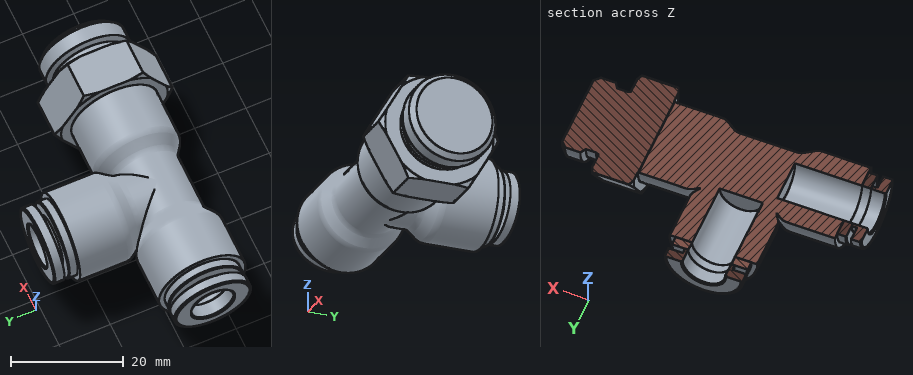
import cadquery as cq
import math


waist_diameter = 13.1
sleeve_diameter = 16.9
cone_inner_end = 6.15
cone_outer_end = 9.0
cone_blend_radius = 2.0
port_shoulder = 19.0
tube_bore_diameter = 8.2
bore_floor = cone_inner_end

collar_diameter = 14.7
collar_chamfer = 0.2
collar_front = 20.75

ring_front = 23.6
ring_head_thickness = 1.95
ring_head_width = 15.0
ring_head_height = 13.0
ring_head_chamfer_length = 0.2
ring_head_chamfer_inset = 0.35
ring_neck_diameter = 9.6
ring_bore_chamfer = 0.25

overall_length = 57.6
thread_tip = overall_length - ring_front
hexagon_start = 18.9
hexagon_thickness = 8.0
hexagon_end = hexagon_start + hexagon_thickness
hexagon_across_flats = 20.0
hexagon_face_diameter = 20.8
hexagon_chamfer_length = 0.45
relief_diameter = 14.6
relief_root_diameter = 15.05
relief_root_length = 0.5
thread_diameter = 16.65
thread_start = 29.4
thread_lead_in = 0.65
thread_tip_chamfer = 1.05

port_angles = (180, 90)


def turned(points):
    """Solid of revolution about X from an outline of (x, radius) points."""
    return cq.Workplane("XY").polyline(points).close().revolve(360, (0, 0, 0), (1, 0, 0))


def cylinder(diameter, start, end):
    """Cylinder on the X axis between two positions."""
    return cq.Workplane("YZ").workplane(offset=start).circle(diameter / 2).extrude(end - start)


def place(part, angle):
    """Turn a part built along +X about the Z axis."""
    return part.rotate((0, 0, 0), (0, 0, 1), angle)


def make_leg(end):
    """Narrow waist that flares through a blended cone into a wide sleeve."""
    waist_radius = waist_diameter / 2
    sleeve_radius = sleeve_diameter / 2
    leg = turned([
        (0, 0),
        (0, waist_radius),
        (cone_inner_end, waist_radius),
        (cone_outer_end, sleeve_radius),
        (end, sleeve_radius),
        (end, 0),
    ])
    cone_edges = leg.faces("%CONE").edges("%CIRCLE")
    return cone_edges.fillet(cone_blend_radius)


def make_body():
    """Tee body with a blind tube bore in each port."""
    body = make_leg(hexagon_start)
    for angle in port_angles:
        body = body.union(place(make_leg(port_shoulder), angle))
    for angle in port_angles:
        bore = cylinder(tube_bore_diameter, bore_floor, port_shoulder)
        body = body.cut(place(bore, angle))
    return body


def make_collar():
    """Flat collar seated on the port shoulder."""
    collar = cylinder(collar_diameter, port_shoulder, collar_front)
    collar = collar.faces(">X").edges().chamfer(collar_chamfer)
    return collar.cut(cylinder(tube_bore_diameter, port_shoulder, collar_front))


def make_release_ring():
    """Release ring with an oval head on a round neck."""
    head_back = ring_front - ring_head_thickness
    head = (
        cq.Workplane("YZ")
        .workplane(offset=head_back)
        .ellipse(ring_head_width / 2, ring_head_height / 2)
        .extrude(ring_head_thickness)
    )
    head = head.faces(">X").edges().chamfer(ring_head_chamfer_length, ring_head_chamfer_inset)
    ring = head.union(cylinder(ring_neck_diameter, collar_front, head_back))
    ring = ring.cut(cylinder(tube_bore_diameter, collar_front, ring_front))
    bore_rim = ring.faces(">X").edges("%CIRCLE")
    return bore_rim.chamfer(ring_bore_chamfer)


def make_hexagon():
    """Hexagon with its corners in the Y direction and both faces turned down."""
    corner_radius = hexagon_across_flats / math.sqrt(3)
    face_radius = hexagon_face_diameter / 2
    hexagon = (
        cq.Workplane("YZ")
        .workplane(offset=hexagon_start)
        .polygon(6, 2 * corner_radius)
        .extrude(hexagon_thickness)
    )
    turned_envelope = turned([
        (hexagon_start, 0),
        (hexagon_start, face_radius),
        (hexagon_start + hexagon_chamfer_length, corner_radius),
        (hexagon_end - hexagon_chamfer_length, corner_radius),
        (hexagon_end, face_radius),
        (hexagon_end, 0),
    ])
    return hexagon.intersect(turned_envelope)


def make_threaded_end():
    """Hexagon, relief groove and chamfered thread as one solid."""
    relief_radius = relief_diameter / 2
    thread_radius = thread_diameter / 2
    stub = turned([
        (hexagon_end, 0),
        (hexagon_end, relief_root_diameter / 2),
        (hexagon_end + relief_root_length, relief_radius),
        (thread_start, relief_radius),
        (thread_start + thread_lead_in, thread_radius),
        (thread_tip - thread_tip_chamfer, thread_radius),
        (thread_tip, thread_radius - thread_tip_chamfer),
        (thread_tip, 0),
    ])
    return make_hexagon().union(stub)


body = make_body()
threaded_end = make_threaded_end()
collars = [place(make_collar(), angle) for angle in port_angles]
release_rings = [place(make_release_ring(), angle) for angle in port_angles]

result = cq.Compound.makeCompound([
    body.val(),
    threaded_end.val(),
    *[collar.val() for collar in collars],
    *[ring.val() for ring in release_rings],
])